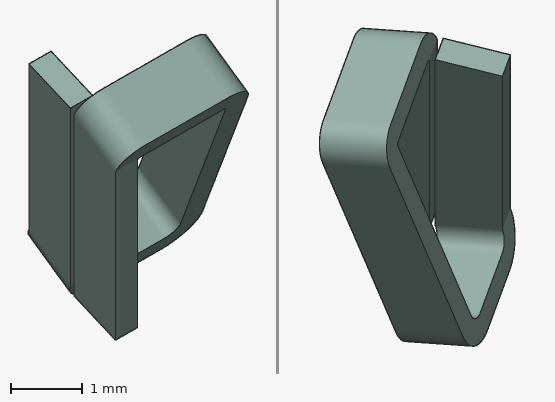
import cadquery as cq
import math

tilt = 16.3
strip_width = 1.025
strip_thickness = 0.385
loop_length = 4.845
loop_depth = 2.29
top_inner_radius = 0.04
bottom_inner_radius = 0.235
left_bar_top = 2.13
right_bar_bottom = -1.99

top_outer_radius = top_inner_radius + strip_thickness
bottom_outer_radius = bottom_inner_radius + strip_thickness
top_bend_end = loop_length / 2 - top_outer_radius
bottom_bend_end = -loop_length / 2 + bottom_outer_radius
front_face = -loop_depth / 2


def rounded_block(depth, length, top_radius, bottom_radius):
    """Upright block across the strip width, with its X edges rounded."""
    block = cq.Workplane("XY").box(strip_width, depth, length)
    block = block.edges("|X and >Z").fillet(top_radius)
    return block.edges("|X and <Z").fillet(bottom_radius)


def open_loop():
    """Leaning loop with the straight part of its front side removed."""
    outside = rounded_block(loop_depth, loop_length, top_outer_radius, bottom_outer_radius)
    inside = rounded_block(
        loop_depth - 2 * strip_thickness,
        loop_length - 2 * strip_thickness,
        top_inner_radius,
        bottom_inner_radius,
    )
    front_opening = cq.Workplane("XY").box(
        strip_width, strip_thickness, top_bend_end - bottom_bend_end
    ).translate((0, front_face + strip_thickness / 2, (top_bend_end + bottom_bend_end) / 2))
    loop = outside.cut(inside).cut(front_opening)
    return loop.rotate((0, 0, 0), (0, 1, 0), tilt)


def leaned_point(across, along):
    """X and Z of a point given across and along the leaning loop."""
    angle = math.radians(tilt)
    x = across * math.cos(angle) + along * math.sin(angle)
    z = along * math.cos(angle) - across * math.sin(angle)
    return x, z


def upright_bar(bend_end, free_end):
    """Vertical bar from the end of a bend to a level free end."""
    left = leaned_point(-strip_width / 2, bend_end)
    right = leaned_point(strip_width / 2, bend_end)
    outline = [left, right, (right[0], free_end), (left[0], free_end)]
    return (
        cq.Workplane("XZ", origin=(0, front_face, 0))
        .polyline(outline)
        .close()
        .extrude(-strip_thickness)
    )


left_bar = upright_bar(bottom_bend_end, left_bar_top)
right_bar = upright_bar(top_bend_end, right_bar_bottom)
result = open_loop().union(left_bar).union(right_bar)